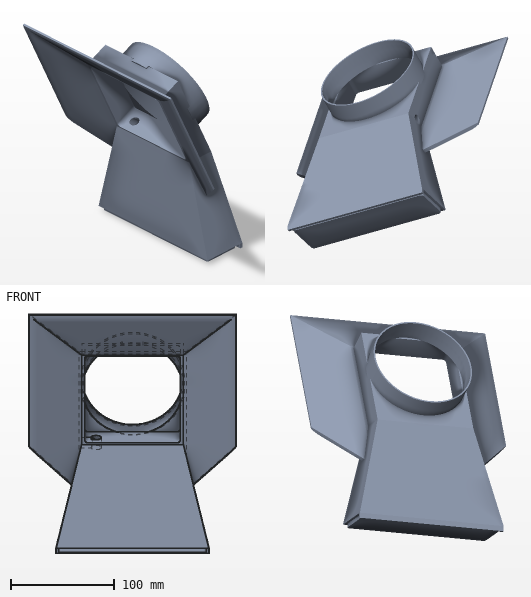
import cadquery as cq
import math

lip_height = 5.0
lip_thickness = 3.0
plug_height = 4.0
plug_inset = 2.8
plug_rear_gap = 5.8
plug_corner_radius = 3.0
base_height = 99.8
base_width = 147.8
base_depth = 47.8
base_top = lip_height + base_height

tilt = 25.0
box_width = 98.4
box_height = 95.5
box_depth = 27.3
pocket_size = 92.4
pocket_floor = 2.0
pocket_corner_radius = 3.5
back_wall = 2.0
collar_center = 48.0

collar_outer_diameter = 100.0
collar_bore_diameter = 97.0
collar_length = 20.0
key_width = 20.0
key_depth = 3.5

hood_width = 200.0
hood_angle = 21.0
hood_root_depth = 2.89
hood_root_step = 2.8
hood_edge_thickness = 2.0
hood_rounding_width = 7.2
hood_cut_outer = 6.5
hood_cut_slope = 49.0
hood_drop = 50.8

cable_diameter = 10.0
cable_x = -35.0
cable_drop = -3.2
cable_depth = 12.0

tilt_rad = math.radians(tilt)
head_frame = cq.Plane(
    origin=(0, 0, base_top),
    xDir=(1, 0, 0),
    normal=(0, -math.cos(tilt_rad), -math.sin(tilt_rad)),
)


def place_on_head(shape):
    """Move a shape from head coordinates to its place on the part."""
    return cq.Workplane(shape.val().moved(head_frame.location))


def head_cylinder(diameter, back, front):
    """Cylinder on the collar axis between two head depths."""
    return (
        cq.Workplane("XY").workplane(offset=back).center(0, collar_center)
        .circle(diameter / 2).extrude(front - back)
    )


def make_base():
    top_depth = box_depth / math.cos(tilt_rad)
    body = (
        cq.Workplane("XY").workplane(offset=lip_height)
        .center(0, base_depth / 2).rect(base_width, base_depth)
        .workplane(offset=base_height)
        .center(0, (top_depth - base_depth) / 2).rect(box_width, top_depth)
        .loft(ruled=True)
    )
    plug = (
        cq.Workplane("XY")
        .box(base_width - 2 * plug_inset, base_depth - plug_inset - plug_rear_gap, plug_height,
             centered=(True, False, False))
        .edges("|Z").fillet(plug_corner_radius)
        .translate((0, plug_inset, lip_height - plug_height))
    )
    lip = (
        cq.Workplane("XY")
        .box(base_width, lip_thickness, lip_height, centered=(True, False, False))
        .translate((0, base_depth - lip_thickness, 0))
    )
    return body.union(plug).union(lip)


def make_box():
    wedge_drop = box_depth * math.tan(tilt_rad)
    profile = [(0, 0), (box_height, 0), (box_height, -box_depth), (-wedge_drop, -box_depth)]
    return cq.Workplane("YZ").polyline(profile).close().extrude(box_width / 2, both=True)


def make_collar():
    box_back = -box_depth
    ring = head_cylinder(collar_outer_diameter, box_back - collar_length, box_back)
    key_ring = head_cylinder(collar_outer_diameter, box_back, box_back + key_depth)
    side_keys = cq.Workplane("XY").box(hood_width, key_width, 2 * box_depth)
    top_key = cq.Workplane("XY").box(key_width, box_height, 2 * box_depth)
    keys = key_ring.intersect(
        side_keys.translate((0, collar_center, 0))
        .union(top_key.translate((0, box_height, 0)))
    )
    return ring.union(keys)


def hood_profile(plane, root):
    """Closed hood wall section; its first coordinate runs outward from the box."""
    reach = (hood_width - box_width) / 2
    slope = math.tan(math.radians(hood_angle))
    rounding_start = reach - hood_rounding_width
    edge_back = (reach - hood_root_step) * slope - hood_root_depth
    return (
        cq.Workplane(plane)
        .moveTo(root, 0)
        .lineTo(root + rounding_start, rounding_start * slope)
        .tangentArcPoint((root + reach, edge_back + hood_edge_thickness), relative=False)
        .lineTo(root + reach, edge_back)
        .lineTo(root + hood_root_step, -hood_root_depth)
        .lineTo(root, -hood_root_depth)
        .close()
    )


def make_hood():
    half_box = box_width / 2
    half_hood = hood_width / 2
    hood_top = box_height + half_hood - half_box
    wall_depth = half_hood

    cut_run = half_hood - half_box
    cut_inner = hood_cut_outer - cut_run * math.tan(math.radians(hood_cut_slope))
    side_outline = (
        cq.Workplane("XY")
        .polyline([
            (half_box, box_height),
            (half_hood, hood_top),
            (half_hood, hood_cut_outer),
            (half_box, cut_inner),
        ])
        .close().extrude(wall_depth, both=True)
    )
    side = (
        hood_profile("XZ", half_box).extrude(-hood_top)
        .union(hood_profile("XZ", half_box).extrude(hood_drop))
        .intersect(side_outline)
    )

    top_outline = (
        cq.Workplane("XY")
        .polyline([
            (-half_box, box_height),
            (half_box, box_height),
            (half_hood, hood_top),
            (-half_hood, hood_top),
        ])
        .close().extrude(wall_depth, both=True)
    )
    top = hood_profile("YZ", box_height).extrude(half_hood, both=True).intersect(top_outline)
    return side.union(side.mirror("YZ")).union(top)


def make_pocket():
    depth = box_depth - back_wall
    pocket = (
        cq.Workplane("XY").box(pocket_size, pocket_size, depth, centered=(True, False, False))
        .edges("|Z").fillet(pocket_corner_radius)
        .translate((0, pocket_floor, -depth))
    )
    bore = head_cylinder(collar_bore_diameter, -box_depth - collar_length, -depth)
    return pocket.union(bore)


def make_cable_passage():
    radius = cable_diameter / 2
    entry = (
        cq.Workplane("YZ", origin=(cable_x, cable_drop, -cable_depth))
        .circle(radius).extrude(-box_width / 2)
    )
    riser = (
        cq.Workplane("XZ", origin=(cable_x, cable_drop - radius, -cable_depth))
        .circle(radius).extrude(-2 * cable_diameter)
    )
    return entry.union(riser)


result = make_base()
for head_part in (make_box(), make_collar(), make_hood()):
    result = result.union(place_on_head(head_part))
for opening in (make_pocket(), make_cable_passage()):
    result = result.cut(place_on_head(opening))